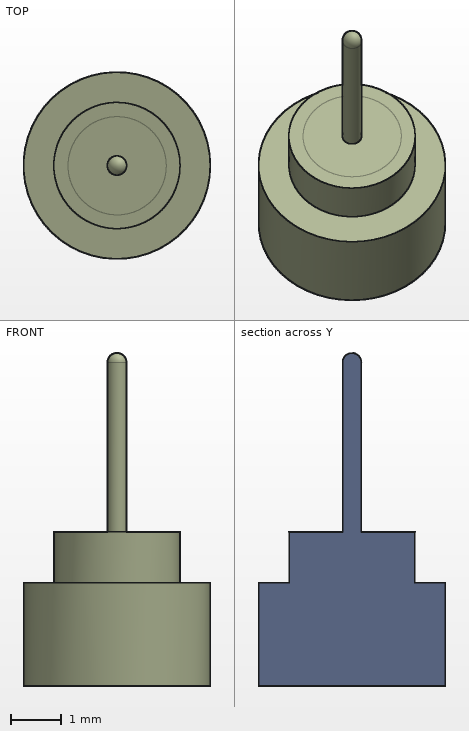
import cadquery as cq

total_height = 6.6
base_diameter = 3.7
base_height = 2.05
collar_diameter = 2.5
collar_height = 1.0
insert_diameter = 1.95
pin_diameter = 0.38

pin_radius = pin_diameter / 2
collar_top = base_height + collar_height
pin_length = total_height - collar_top


def cylinder(diameter, height, bottom=0.0):
    """Upright cylinder on the Z axis, starting at the given height."""
    return cq.Workplane("XY").workplane(offset=bottom).circle(diameter / 2).extrude(height)


body = cylinder(base_diameter, base_height).union(cylinder(collar_diameter, collar_height, base_height))

insert = cylinder(insert_diameter, collar_height, base_height)

pin_shaft = cylinder(pin_diameter, pin_length - pin_radius, collar_top)
pin_tip = cq.Workplane("XY").sphere(pin_radius).translate((0, 0, total_height - pin_radius))
pin = pin_shaft.union(pin_tip)

result = body.cut(insert).union(insert, clean=False).union(pin, clean=False)